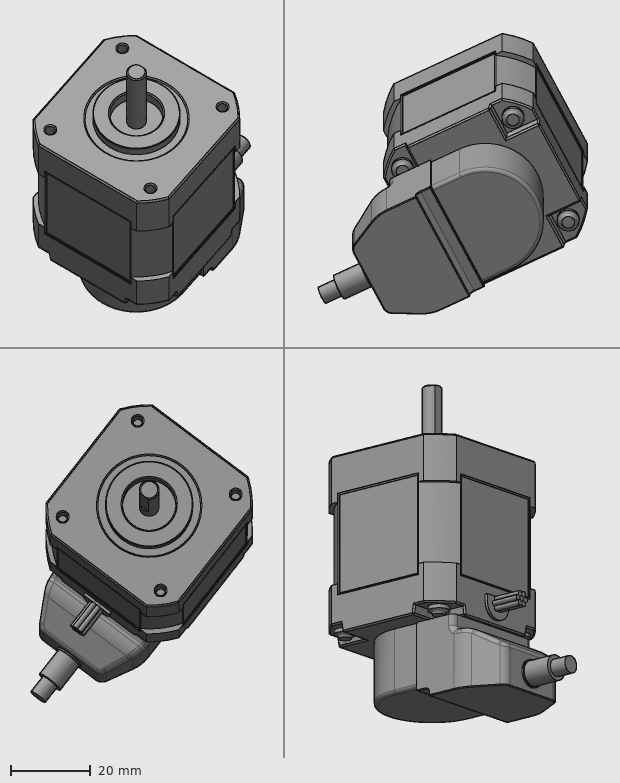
import cadquery as cq
import math


overlap = 0.9
tolerance = 0.1

body_width = 42.0
body_half = body_width / 2
body_length = 46.9
corner_radius = 25.9
edge_chamfer = 0.4

waist_top = -12.4
waist_bottom = -33.9
panel_pocket_top = -10.1
panel_pocket_size = 26.6
panel_pocket_depth = 0.3
panel_inset_depth = 0.2
panel_margin = 0.4
panel_pocket_centre = panel_pocket_top - panel_pocket_size / 2
panel_pocket_floor = body_half - panel_pocket_depth
waist_radius = math.hypot(panel_pocket_size / 2, panel_pocket_floor)

pilot_radius = 11.0
pilot_height = 2.2
pilot_chamfer = 0.2
face_ring_radius = 13.2
face_ring_depth = 0.35
bore_radius = 6.7
bore_depth = 3.3
bore_chamfer = 0.35
hole_spacing = 31.0
tapped_hole_diameter = 2.5
tapped_hole_depth = 4.5
tapped_hole_chamfer = 0.35

shaft_diameter = 5.0
shaft_radius = shaft_diameter / 2
shaft_top = 20.0
shaft_chamfer = 0.35
shaft_flat_offset = 2.1
shaft_flat_start = 4.8

notch_depth = 2.4
notch_inner = 12.2
notch_wall_lean = 0.4
screw_head_radius = 2.8
screw_rim_height = 1.05
screw_head_height = 2.2
screw_crown_radius = 1.6
screw_dome_bulge = 0.3

drum_radius = 14.5
drum_bottom = -63.9
drum_fillet = 1.0

housing_half_width = 15.1
housing_bottom = -67.0
housing_inner_y = 7.8
housing_inner_bottom = -64.9
housing_step_y = 11.8
housing_step_radius = 1.2
housing_wall_y = 19.9
housing_shoulder_z = -50.9
housing_front_y = 32.8
housing_front_top = -56.0
housing_slope_angle = 30
housing_slope_radius = 7.3
housing_valley_radius = 1.05
housing_taper_half_width = 9.8
housing_taper_start_y = 22.7
housing_taper_radius = 10.4
housing_corner_radius = 2.6
housing_edge_fillet = 1.6
housing_bottom_chamfer = 0.3

cable_z = -61.95
cable_diameter = 4.5
cable_radius = cable_diameter / 2
cable_end_y = 45.805
boot_radius = 3.3
boot_z = -61.9
boot_end_y = 41.0
collar_radius = 3.65
collar_length = 0.4

lead_radius = 0.74
lead_spacing = 1.4
lead_end_y = 29.7
lead_z = -41.4
grommet_radius = 4.1
grommet_top = -39.5
grommet_thickness = 0.8


def cylinder_z(radius, z_low, z_high):
    return cq.Workplane("XY").workplane(offset=z_low).circle(radius).extrude(z_high - z_low)


def cylinder_y(radius, x, z, y_low, y_high):
    start = cq.Plane(origin=(x, y_low, z), xDir=(1, 0, 0), normal=(0, 1, 0))
    return cq.Workplane(start).circle(radius).extrude(y_high - y_low)


def make_notch_cutter():
    """Leaning block that opens the rear corner in the +X +Y quadrant."""
    outer = body_half + overlap
    mouth_inner = notch_inner - notch_wall_lean
    ceiling_centre = (notch_inner + outer) / 2
    mouth_centre = (mouth_inner + outer) / 2
    return (
        cq.Workplane("XY").workplane(offset=notch_depth - body_length)
        .center(ceiling_centre, ceiling_centre)
        .rect(outer - notch_inner, outer - notch_inner)
        .workplane(offset=-notch_depth)
        .center(mouth_centre - ceiling_centre, mouth_centre - ceiling_centre)
        .rect(outer - mouth_inner, outer - mouth_inner)
        .loft(ruled=True)
    )


def make_panel_cutter(size, floor):
    """Square block reaching from outside the body in to a pocket floor on the +X side."""
    return (
        cq.Workplane("YZ").workplane(offset=floor)
        .center(0, panel_pocket_centre).rect(size, size).extrude(body_half)
    )


def make_body():
    body = cq.Workplane("XY").rect(body_width, body_width).extrude(-body_length)
    body = body.intersect(cylinder_z(corner_radius, -body_length, 0))
    body = body.faces(">Z").edges().chamfer(edge_chamfer)

    waist_ring = cylinder_z(corner_radius + overlap, waist_bottom, waist_top).cut(
        cylinder_z(waist_radius, waist_bottom, waist_top))
    body = body.cut(waist_ring)

    pocket = make_panel_cutter(panel_pocket_size, panel_pocket_floor)
    inset = make_panel_cutter(panel_pocket_size - 2 * panel_margin, panel_pocket_floor - panel_inset_depth)
    panel_cutter = pocket.union(inset)
    notch = make_notch_cutter()
    for quarter in range(4):
        angle = 90 * quarter
        body = body.cut(panel_cutter.rotate((0, 0, 0), (0, 0, 1), angle))
        body = body.cut(notch.rotate((0, 0, 0), (0, 0, 1), angle))

    def is_rear_rim(edge):
        """True for edges of the rear face and for notch edges on the outer faces."""
        middle = edge.Center()
        on_side = max(abs(middle.x), abs(middle.y)) > body_half - tolerance
        on_corner = math.hypot(middle.x, middle.y) > waist_radius
        on_rear = middle.z < tolerance - body_length
        long_side_seam = edge.BoundingBox().zlen > notch_depth + tolerance
        on_notch = middle.z < tolerance + notch_depth - body_length
        return on_rear or (on_notch and (on_side or on_corner) and not long_side_seam)

    rear_rim = [edge for edge in body.edges().vals() if is_rear_rim(edge)]
    return body.newObject(rear_rim).chamfer(edge_chamfer)


def add_mounting_face(body):
    ring = cq.Solid.makeCone(
        face_ring_radius - face_ring_depth, face_ring_radius, face_ring_depth,
        pnt=(0, 0, -face_ring_depth), dir=(0, 0, 1))
    pilot = cylinder_z(pilot_radius, -face_ring_depth - overlap, pilot_height)
    pilot = pilot.faces(">Z").edges().chamfer(pilot_chamfer)
    body = body.cut(cq.Workplane(ring)).union(pilot)
    body = body.faces(">Z").workplane(origin=(0, 0, 0)).circle(bore_radius).cutBlind(-bore_depth)
    body = body.faces(">Z").edges("%CIRCLE").edges(cq.selectors.RadiusNthSelector(0)).chamfer(bore_chamfer)

    return (
        body.copyWorkplane(cq.Workplane("XY"))
        .rect(hole_spacing, hole_spacing, forConstruction=True).vertices()
        .cskHole(tapped_hole_diameter, tapped_hole_diameter + 2 * tapped_hole_chamfer, 90, tapped_hole_depth)
    )


def make_shaft():
    shaft = cylinder_z(shaft_radius, -bore_depth, shaft_top).faces(">Z").edges().chamfer(shaft_chamfer)
    flat = (
        cq.Workplane("XY").workplane(offset=shaft_flat_start)
        .center(0, shaft_flat_offset + shaft_radius)
        .rect(2 * shaft_radius, 2 * shaft_radius).extrude(shaft_top)
    )
    return shaft.cut(flat)


def make_screw_head():
    """Domed head hanging from the notch ceiling in the +X +Y quadrant."""
    ceiling = notch_depth - body_length
    return (
        cq.Workplane("XZ")
        .moveTo(0, overlap)
        .lineTo(screw_head_radius, overlap)
        .lineTo(screw_head_radius, -screw_rim_height)
        .sagittaArc((screw_crown_radius, -screw_head_height), -screw_dome_bulge)
        .lineTo(0, -screw_head_height)
        .close()
        .revolve(360, (0, 0, 0), (0, 1, 0))
        .translate((hole_spacing / 2, hole_spacing / 2, ceiling))
    )


def make_drum():
    """Round drum whose flat sides run on into the housing."""
    height = -body_length - drum_bottom
    return (
        cq.Workplane("XY").workplane(offset=drum_bottom)
        .moveTo(-drum_radius, 0)
        .threePointArc((0, -drum_radius), (drum_radius, 0))
        .lineTo(drum_radius, housing_step_y)
        .lineTo(-drum_radius, housing_step_y)
        .close()
        .extrude(height)
        .faces("<Z").edges("not >Y").fillet(drum_fillet)
    )


def make_housing():
    top = -body_length
    slope_run = (housing_shoulder_z - housing_front_top) / math.tan(math.radians(housing_slope_angle))
    slope_start_y = housing_front_y - slope_run
    side = (
        cq.Workplane("YZ").workplane(offset=-housing_half_width)
        .moveTo(housing_inner_y, top)
        .lineTo(housing_wall_y, top)
        .lineTo(housing_wall_y, housing_shoulder_z)
        .lineTo(slope_start_y, housing_shoulder_z)
        .lineTo(housing_front_y, housing_front_top)
        .lineTo(housing_front_y, housing_bottom)
        .lineTo(housing_step_y, housing_bottom)
        .lineTo(housing_step_y, housing_inner_bottom)
        .lineTo(housing_inner_y, housing_inner_bottom)
        .close()
        .extrude(2 * housing_half_width)
    )

    def bend(y, z):
        return cq.selectors.BoxSelector(
            (-tolerance, y - tolerance, z - tolerance), (tolerance, y + tolerance, z + tolerance))

    side = side.edges(bend(housing_wall_y, housing_shoulder_z)).fillet(housing_valley_radius)
    side = side.edges(bend(slope_start_y, housing_shoulder_z)).fillet(housing_slope_radius)
    side = side.edges(bend(housing_step_y, housing_inner_bottom)).fillet(housing_step_radius)

    plan = (
        cq.Workplane("XY").workplane(offset=housing_bottom)
        .moveTo(-housing_half_width, housing_inner_y)
        .lineTo(housing_half_width, housing_inner_y)
        .lineTo(housing_half_width, housing_taper_start_y)
        .lineTo(housing_taper_half_width, housing_front_y)
        .lineTo(-housing_taper_half_width, housing_front_y)
        .lineTo(-housing_half_width, housing_taper_start_y)
        .close()
        .extrude(top - housing_bottom)
        .edges("|Z and >Y").fillet(housing_corner_radius)
    )
    for x in (-housing_half_width, housing_half_width):
        taper_start = cq.selectors.BoxSelector(
            (x - tolerance, housing_taper_start_y - tolerance, housing_bottom),
            (x + tolerance, housing_taper_start_y + tolerance, top))
        plan = plan.edges(taper_start).fillet(housing_taper_radius)
    housing = side.intersect(plan)

    def is_upper_rim(edge):
        middle = edge.Center()
        box = edge.BoundingBox()
        upright_seam = box.ylen < tolerance and middle.y > housing_wall_y + tolerance
        across = box.xlen > 2 * housing_taper_half_width
        return (
            middle.y > housing_wall_y - tolerance
            and housing_bottom + tolerance < middle.z < top - tolerance
            and not upright_seam
            and not across
        )

    upper_rim = [edge for edge in housing.edges().vals() if is_upper_rim(edge)]
    housing = housing.newObject(upper_rim).fillet(housing_edge_fillet)

    def is_lower_rim(edge):
        middle = edge.Center()
        on_bottom = middle.z < housing_bottom + tolerance
        on_inner_end = middle.y < housing_inner_y + tolerance
        on_flank = abs(middle.x) > housing_half_width - tolerance
        return on_bottom or (middle.z < housing_inner_bottom + tolerance and (on_inner_end or on_flank))

    lower_rim = [edge for edge in housing.edges().vals() if is_lower_rim(edge)]
    return housing.newObject(lower_rim).chamfer(housing_bottom_chamfer)


def make_cable():
    inside_y = housing_front_y - overlap
    cable = cylinder_y(cable_radius, 0, cable_z, inside_y, cable_end_y)
    boot = cylinder_y(boot_radius, 0, boot_z, inside_y, boot_end_y)
    collar = cylinder_y(collar_radius, 0, boot_z, inside_y, housing_front_y + collar_length)
    return cable.union(boot).union(collar)


def make_leads():
    """Six leads around a seventh, leaving through a half-round grommet."""
    grommet = (
        cq.Workplane("XZ", origin=(0, body_half - overlap, 0))
        .moveTo(-grommet_radius, grommet_top)
        .lineTo(grommet_radius, grommet_top)
        .lineTo(grommet_radius, lead_z)
        .threePointArc((0, lead_z - grommet_radius), (-grommet_radius, lead_z))
        .close()
        .extrude(-overlap - grommet_thickness)
    )
    leads = grommet.union(cylinder_y(lead_radius, 0, lead_z, body_half, lead_end_y))
    for index in range(6):
        angle = math.radians(60 * index)
        x = lead_spacing * math.cos(angle)
        z = lead_z + lead_spacing * math.sin(angle)
        leads = leads.union(cylinder_y(lead_radius, x, z, body_half, lead_end_y))
    return leads


result = add_mounting_face(make_body())
result = result.union(make_shaft())
for quarter in range(4):
    result = result.union(make_screw_head().rotate((0, 0, 0), (0, 0, 1), 90 * quarter))
result = result.union(make_drum()).union(make_housing()).union(make_cable()).union(make_leads())